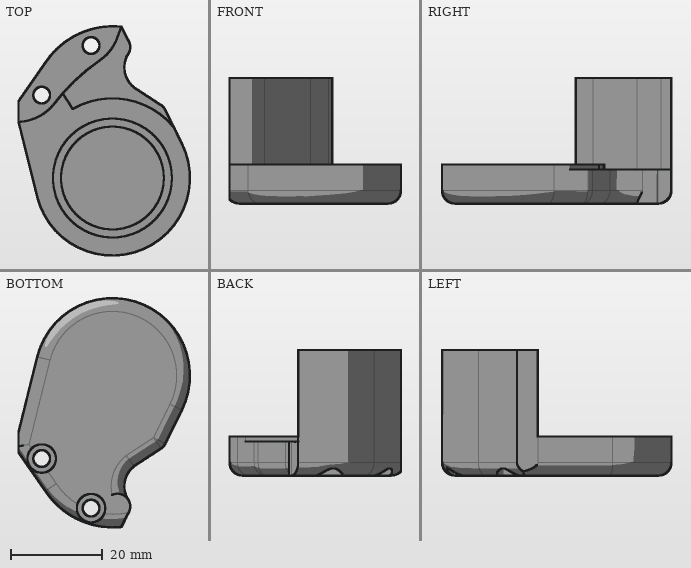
import cadquery as cq
import math

total_height = 27.5
plate_height = 8.6
bottom_fillet = 2.9
seat_radius = 16.95
flat_x = -20.5

pocket_radius = 11.25
pocket_depth = 6.95
ledge_radius = 13.0
ledge_depth = 1.4

hole_radius = 1.8
counterbore_radius = 3.1
counterbore_depth = 3.0
hole_centers = [(-15.45, 18.1), (-4.65, 28.95)]

floor_drop = 1.1
rim_radius = 17.4
floor_corner = (-8.8, 15.25)
floor_end = (-10.8, 18.35)

pillar_front = (flat_x, 12.25)
pillar_back = (flat_x, 16.8)
back_arc_start = (-14.65, 25.25)
back_arc_middle = (-8.2, 31.1)
tip = (1.95, 33.1)
nose_start = (3.35, 30.25)
nose_middle = (3.9, 28.75)
nose_end = (3.3, 26.85)
notch_middle = (2.65, 23.6)
notch_end = (4.75, 19.75)
shoulder_start = (10.7, 15.9)
shoulder_middle = (11.2, 15.45)
shoulder_corner = (11.55, 14.9)

upper_bend_start = (1.15, 30.9)
upper_bend_middle = (-0.4, 27.95)
upper_bend_end = (-2.85, 25.65)
hollow_middle = (-7.75, 21.7)
hollow_end = (-12.85, 16.05)
lower_bend_middle = (-16.35, 13.3)


def tangent_point(corner, side):
    """Point where a line from the corner touches the seat circle."""
    distance = math.hypot(*corner)
    angle = math.atan2(corner[1], corner[0]) + side * math.acos(seat_radius / distance)
    return (seat_radius * math.cos(angle), seat_radius * math.sin(angle))


def line_crossing(a, b, c, d):
    """Point where the line through a and b meets the line through c and d."""
    ux, uy = b[0] - a[0], b[1] - a[1]
    vx, vy = d[0] - c[0], d[1] - c[1]
    along = ((c[0] - a[0]) * vy - (c[1] - a[1]) * vx) / (ux * vy - uy * vx)
    return (a[0] + along * ux, a[1] + along * uy)


left_tangent = tangent_point(pillar_front, 1)
right_tangent = tangent_point(shoulder_corner, -1)
left_corner = line_crossing(left_tangent, pillar_front, back_arc_start, pillar_back)


def base_plate():
    outline = (
        cq.Workplane("XY")
        .moveTo(*left_corner)
        .lineTo(*back_arc_start)
        .threePointArc(back_arc_middle, tip)
        .lineTo(*nose_start)
        .threePointArc(nose_middle, nose_end)
        .threePointArc(notch_middle, notch_end)
        .lineTo(*shoulder_start)
        .threePointArc(shoulder_middle, shoulder_corner)
        .lineTo(*right_tangent)
        .threePointArc((0, -seat_radius), left_tangent)
        .close()
    )
    left_half = cq.selectors.BoxSelector((left_corner[0], -seat_radius, -0.5), (0, tip[1], 0.5))
    plate = outline.extrude(plate_height).faces("<Z").edges(left_half).fillet(bottom_fillet)
    reach = 2 * seat_radius
    beyond_flat = cq.Workplane("XY").box(reach, 4 * reach, 4 * reach).translate((flat_x - reach / 2, 0, 0))
    return plate.cut(beyond_flat)


def pillar():
    return (
        cq.Workplane("XY")
        .workplane(offset=plate_height - floor_drop)
        .moveTo(*pillar_front)
        .lineTo(*pillar_back)
        .lineTo(*back_arc_start)
        .threePointArc(back_arc_middle, tip)
        .lineTo(*upper_bend_start)
        .threePointArc(upper_bend_middle, upper_bend_end)
        .threePointArc(hollow_middle, hollow_end)
        .threePointArc(lower_bend_middle, pillar_front)
        .close()
        .extrude(total_height - plate_height + floor_drop)
    )


def floor_cut():
    """Region behind the rim, lowered by the floor drop."""
    far = 2 * rim_radius
    return (
        cq.Workplane("XY")
        .workplane(offset=plate_height - floor_drop)
        .moveTo(*floor_corner)
        .lineTo(*floor_end)
        .lineTo(floor_end[0], far)
        .lineTo(far, far)
        .lineTo(far, 0)
        .lineTo(0, 0)
        .close()
        .extrude(floor_drop)
        .cut(cq.Workplane("XY").circle(rim_radius).extrude(plate_height))
    )


def seat_bore(radius, depth):
    return cq.Workplane("XY").workplane(offset=plate_height - depth).circle(radius).extrude(depth)


def bolt_holes():
    places = cq.Workplane("XY").pushPoints(hole_centers)
    return places.circle(hole_radius).extrude(total_height).union(
        places.circle(counterbore_radius).extrude(counterbore_depth)
    )


result = (
    base_plate()
    .cut(floor_cut())
    .union(pillar())
    .cut(seat_bore(ledge_radius, ledge_depth))
    .cut(seat_bore(pocket_radius, pocket_depth))
    .cut(bolt_holes())
)